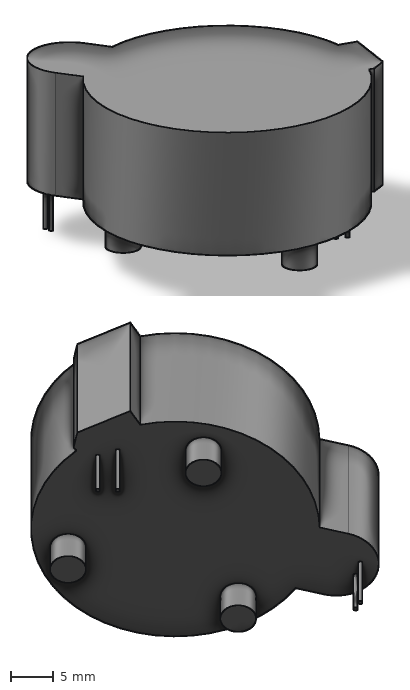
import cadquery as cq

body_radius = 17.0
body_height = 15.6
tab_radius = 5.0
overall_length = 41.75
tab_center_x = body_radius + tab_radius - overall_length

lug_angle = 45.0
lug_reach = 18.9
lug_half_width = 4.3
lug_chamfer_radial = 1.85
lug_chamfer_side = 1.5

peg_diameter = 4.2
peg_length = 3.93
peg_positions = [(0.3, 12.8), (-10.1, -8.15), (11.3, -6.3)]

pin_diameter = 0.5
long_pin_length = 6.97
short_pin_length = 5.97
long_pin_positions = [(-22.43, 0.95), (10.0, 10.0)]
short_pin_positions = [(-22.43, -1.05), (12.0, 8.48)]


def make_tab():
    """Straight-sided tab from the body center, with a full round end."""
    return (
        cq.Workplane("XY")
        .moveTo(0, tab_radius)
        .lineTo(tab_center_x, tab_radius)
        .threePointArc((tab_center_x - tab_radius, 0), (tab_center_x, -tab_radius))
        .lineTo(0, -tab_radius)
        .close()
        .extrude(body_height)
    )


def make_lug():
    """Rectangular lug with one outer corner cut off, turned into place."""
    outline = [
        (0, lug_half_width),
        (lug_reach, lug_half_width),
        (lug_reach, lug_chamfer_side - lug_half_width),
        (lug_reach - lug_chamfer_radial, -lug_half_width),
        (0, -lug_half_width),
    ]
    lug = cq.Workplane("XY").polyline(outline).close().extrude(body_height)
    return lug.rotate((0, 0, 0), (0, 0, 1), lug_angle)


def make_posts(positions, diameter, length):
    """Round posts hanging below the underside at z = 0."""
    return cq.Workplane("XY").pushPoints(positions).circle(diameter / 2).extrude(-length)


body = cq.Workplane("XY").circle(body_radius).extrude(body_height)

result = (
    body.union(make_tab())
    .union(make_lug())
    .union(make_posts(peg_positions, peg_diameter, peg_length))
    .union(make_posts(long_pin_positions, pin_diameter, long_pin_length))
    .union(make_posts(short_pin_positions, pin_diameter, short_pin_length))
)